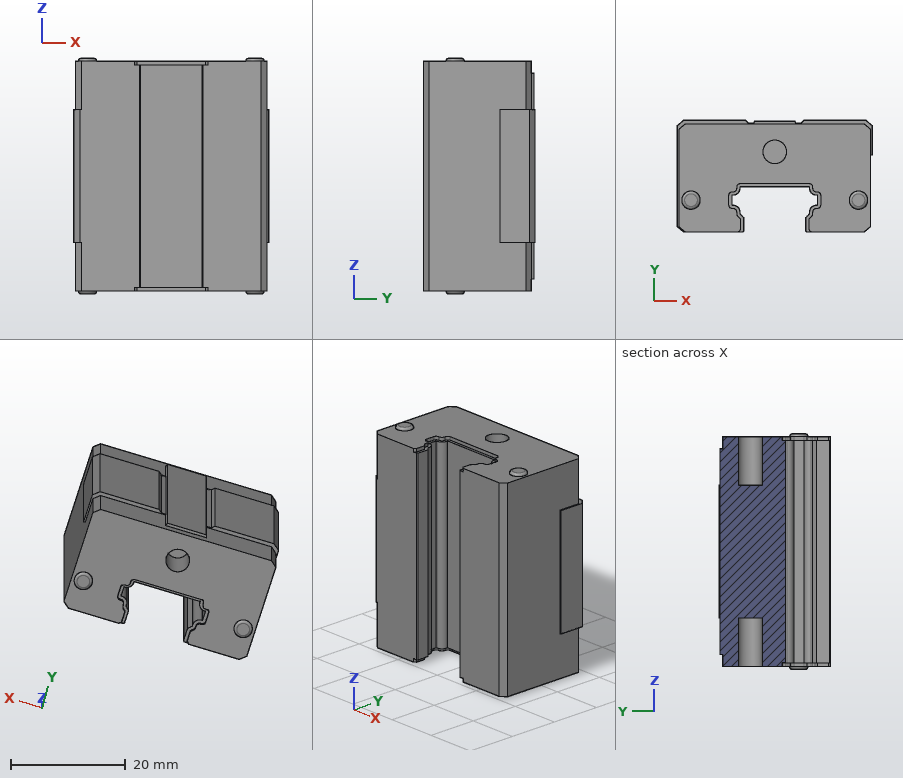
import cadquery as cq
import math


total_length = 41.1
pin_height = 0.5
block_width = 34.0
block_height = 19.5
block_length = 23.2
cap_width = 33.4
cap_height = 18.82
body_length = total_length - 2 * pin_height
cap_length = (body_length - block_length) / 2

datum_pad_bottom = 13.4

bevel_x = 1.1
bevel_y = 0.95

groove_depth = 0.5
groove_slope = 0.55
groove_half_width = 5.1
strip_drop = 0.15
strip_half_width = 3.55
strip_slope = 0.25
strip_end_gap = 2.1

ball_height = 5.55
channel_height = 7.85
neck_half_width = 6.05
pocket_half_width = 7.45
pocket_half_height = 0.85
shoulder_radius = 1.25
lip_half_width = 5.4
lip_bevel_top = 3.15
lip_flare = 0.15
channel_overrun = 2.05

recess_offset = 0.58
recess_depth = 0.65

pin_x = 14.6
pin_radius = 1.6
pin_root = 0.82
hole_height = 13.97
hole_radius = 2.05


def prism(outline_points, length):
    """Extrude a closed XY polygon symmetrically about Z = 0."""
    return cq.Workplane("XY").polyline(outline_points).close().extrude(length / 2, both=True)


def beveled_bar(width, height, length):
    """Rectangular bar standing on Y = 0 with all four long edges beveled."""
    half = width / 2
    right_side = [
        (half - bevel_x, 0),
        (half, bevel_y),
        (half, height - bevel_y),
        (half - bevel_x, height),
    ]
    left_side = [(-x, y) for x, y in reversed(right_side)]
    return prism(right_side + left_side, length)


def trapezoid_bar(top_half_width, bottom_half_width, top, bottom, length):
    """Symmetric trapezoidal bar between two heights."""
    return prism(
        [
            (-bottom_half_width, bottom),
            (bottom_half_width, bottom),
            (top_half_width, top),
            (-top_half_width, top),
        ],
        length,
    )


def channel_outline():
    """Closed outline of the rail channel, carried past the open face along its flare."""
    shoulder_x = neck_half_width + shoulder_radius
    shoulder_mid_x = shoulder_x - shoulder_radius * math.cos(math.pi / 4)
    shoulder_rise = shoulder_radius * (1 - math.sin(math.pi / 4))
    pocket_top = ball_height + pocket_half_height
    pocket_bottom = ball_height - pocket_half_height
    lip_bevel_bottom = lip_bevel_top - (neck_half_width - lip_half_width)
    half_outline = (
        cq.Workplane("XY")
        .moveTo(0, channel_height)
        .lineTo(neck_half_width, channel_height)
        .lineTo(neck_half_width, pocket_top + shoulder_radius)
        .threePointArc((shoulder_mid_x, pocket_top + shoulder_rise), (shoulder_x, pocket_top))
        .lineTo(pocket_half_width, pocket_top)
        .lineTo(pocket_half_width, pocket_bottom)
        .lineTo(shoulder_x, pocket_bottom)
        .threePointArc(
            (shoulder_mid_x, pocket_bottom - shoulder_rise),
            (neck_half_width, pocket_bottom - shoulder_radius),
        )
        .lineTo(neck_half_width, lip_bevel_top)
        .lineTo(lip_half_width, lip_bevel_bottom)
        .lineTo(lip_half_width, lip_flare)
        .lineTo(lip_half_width + lip_flare + channel_overrun, -channel_overrun)
        .lineTo(0, -channel_overrun)
    )
    return half_outline.mirrorY()


block = beveled_bar(block_width, block_height, block_length)
groove_floor = block_height - groove_depth
groove = trapezoid_bar(
    groove_half_width, groove_half_width - groove_slope, block_height, groove_floor, block_length
)

caps = beveled_bar(cap_width, cap_height, body_length)
side_relief = (
    cq.Workplane("XY")
    .box(block_width / 2, datum_pad_bottom, block_length, centered=(False, False, True))
    .cut(caps)
)

strip = trapezoid_bar(
    strip_half_width,
    strip_half_width + strip_slope,
    block_height - strip_drop,
    cap_height,
    body_length - 2 * strip_end_gap,
)

body = block.cut(groove).cut(side_relief).union(caps).union(strip)

channel = channel_outline().extrude(body_length / 2, both=True)
body = body.cut(channel)
recess = channel_outline().offset2D(recess_offset, "arc").extrude(recess_depth)
for recess_bottom in (body_length / 2 - recess_depth, -body_length / 2):
    body = body.cut(recess.translate((0, 0, recess_bottom)))


def end_features(outward):
    """Lubrication hole and pins at one end; outward is +1 for the top end, -1 for the bottom."""
    end_z = outward * body_length / 2
    hole = (
        cq.Workplane("XY", origin=(0, hole_height, end_z))
        .circle(hole_radius)
        .extrude(-outward * cap_length)
    )
    pins = (
        cq.Workplane("XY", origin=(0, ball_height, end_z - outward * pin_root))
        .pushPoints([(-pin_x, 0), (pin_x, 0)])
        .circle(pin_radius)
        .extrude(outward * (pin_root + pin_height))
        .faces(">Z" if outward > 0 else "<Z")
        .edges()
        .fillet(pin_height)
    )
    return hole, pins


for end in (1, -1):
    lubrication_hole, pin_pair = end_features(end)
    body = body.cut(lubrication_hole).union(pin_pair)

result = body.solids()